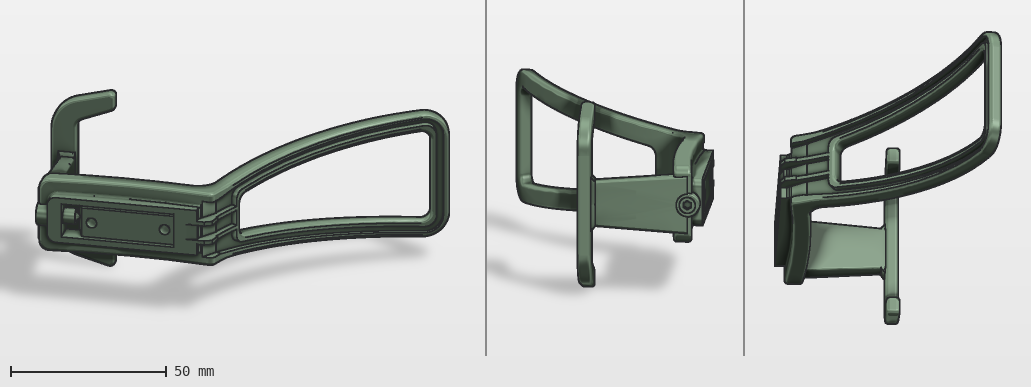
import cadquery as cq
import math

TILT = 14.0
REACH = 150.0

PLATE_START = (-3.6, 3.0)
PLATE_START_TOP = (-3.6, 8.8)
PLATE_UNDERSIDE_CROWN = (24.0, 4.8)
PLATE_TOP_CROWN = (22.0, 10.5)
PLATE_HALF_WIDTH = 12.65
PLATE_CORNER_RADIUS = 3.4
EDGE_FILLET = 1.1

BAND_FOOT_OUTER = (54.0, 3.0)
BAND_FOOT_INNER = (50.4, 9.1)
BAND_MIDDLE_INNER = (70.0, 40.3)
BAND_END_OUTER = (117.7, 64.95)
BAND_END_INNER = (116.5, 68.75)
BAND_OUTER_CENTRE = (147.4, -29.3)
INNER_BEND_RADIUS = 7.0
OUTER_BEND_RADIUS = 2.0
LOOP_FOOT_Y = 24.6
LOOP_TOP_Y = 110.0
LOOP_SLOPE = 0.141
LOOP_FOOT_RADIUS = 36.0
LOOP_CORNER_RADIUS = 8.5

WINDOW_FOOT = (60.2, 16.6)
WINDOW_FOOT_INNER = (55.2, 19.5)
FOOT_WALL_ANGLE = 150.0
OPENING_BASE_Y = 18.0
OPENING_SLOPE = 0.152
WINDOW_BASE_HALF = 4.8
WINDOW_END_BAR = 6.2
WINDOW_CORNER_RADIUS = 3.0
OPENING_OVERRUN = 12.0

GROOVE_DEPTH = 2.2
GROOVE_WIDTH = 2.2
GROOVE_FOOT = (54.5, 8.0)
GROOVE_FOOT_RADIUS = 0.5
GROOVE_BASE_HALF = 9.35
GROOVE_END_BAR = 2.0
GROOVE_CORNER_RADIUS = 6.0
GROOVE_CORE_FOOT = (59.2, 15.0)

POST_BASE_Y = 4.5
POST_BASE_X = (-3.9, 2.25)
POST_BASE_HALF_WIDTH = 9.5
POST_BASE_RIDGE = 0.1
POST_TOP_Y = 36.0
POST_TOP_X = (-3.8, 0.9)
POST_TOP_HALF_WIDTH = 7.3
POST_TOP_RIDGE = 0.7
POST_FILLET = 0.8
FLARE_HEIGHT = 1.3
FLARE_SIDE = 1.4
FLARE_OUTER = 0.9

HOOK_BOTTOM_Y = 35.5
HOOK_THICKNESS = 4.3
HOOK_HALF_SPAN = 30.245
HOOK_BACK_X = -7.2
HOOK_INNER_X = 1.3
HOOK_INNER_CORNER_Z = 19.4
HOOK_TIP_X = 13.8
HOOK_TIP_INNER_Z = 24.4
HOOK_ARM_ANGLE = 15.0
HOOK_OUTER_RADIUS = 11.5
HOOK_INNER_RADIUS = 3.0
HOOK_TIP_RADIUS = 1.6
HOOK_FILLET = 1.1

BLOCK_LENGTH = 50.0
BLOCK_HALF_WIDTH = 7.8
BLOCK_CORNER_RADIUS = 2.8
BLOCK_DEPTH = 7.0
BLOCK_ROOT_FILLET = 0.7

SLOT_HALF_WIDTH = 2.6
RIB_HALF_WIDTH = 4.0
RIB_PROFILE = ((46.0, 0), (51.8, 0), (54.2, 1.2), (55.2, 4.8), (46.0, 4.8))
SLOT_PROFILE = ((46.0, 0), (48.7, 0.8), (50.2, 1.2), (51.0, 3.6), (56.0, 3.6), (56.0, -1.0), (46.0, -1.0))
NOTCH_HALF_WIDTH = 9.7
NOTCH_PROFILE = ((49.3, -1.0), (49.4, 2.0), (54.5, 9.1), (62.0, 9.1), (62.0, -1.0))

POCKET_START = 4.6
POCKET_END = 41.8
POCKET_HALF_WIDTH = 5.75
POCKET_DEPTH = 7.0

JAW_HALF_WIDTH = 4.95
JAW_SINK = 0.2
JAW_FACE_START = 11.4
JAW_FLOOR_START = 8.9
JAW_HOLE_DIAMETER = 3.4
JAW_HOLES_X = (14.6, 38.7)

SCREW_Y = 4.5
SCREW_RADIUS = 2.6
SCREW_START = -3.8
SCREW_TIP_START = 8.6
SCREW_TIP_RADIUS = 1.7
SCREW_TIP_LENGTH = 1.6
SOCKET_WIDTH = 2.5
SOCKET_DEPTH = 2.0
BOSS_START = -4.1
BOSS_END = 1.0
BOSS_RADIUS = 3.9
BOSS_FILLET = 0.6


def near(x, y, z=0.0):
    return cq.selectors.NearestToPointSelector((x, y, z))


def to_model_frame(body):
    return body.rotate((0, 0, 0), (0, 0, 1), -TILT)


def to_final_position(body):
    return body.rotate((0, 0, 0), (0, 0, 1), TILT)


def slab(profile, half_width):
    """Profile in XY, extruded equally to both sides of Z = 0."""
    return cq.Workplane("XY").polyline(profile).close().extrude(half_width, both=True)


def x_cylinder(start, end, radius):
    return cq.Workplane("YZ", origin=(start, SCREW_Y, 0)).circle(radius).extrude(end - start)


def wedge(foot_y, foot_half, slope):
    """Prism along X with a trapezoid outline that widens with Y."""
    top_half = foot_half + slope * (LOOP_TOP_Y - foot_y)
    outline = [
        (foot_y, foot_half),
        (LOOP_TOP_Y, top_half),
        (LOOP_TOP_Y, -top_half),
        (foot_y, -foot_half),
    ]
    return cq.Workplane("YZ").polyline(outline).close().extrude(REACH, both=True)



def band_outer_radius():
    centre_x, centre_y = BAND_OUTER_CENTRE
    end_x, end_y = BAND_END_OUTER
    return math.hypot(end_x - centre_x, end_y - centre_y)


def band_outer_middle():
    """Point on the outer face's arc, halfway between foot and end in angle."""
    centre = cq.Vector(*BAND_OUTER_CENTRE)
    foot_direction = (cq.Vector(*BAND_FOOT_OUTER) - centre).normalized()
    end_direction = (cq.Vector(*BAND_END_OUTER) - centre).normalized()
    middle = centre + (foot_direction + end_direction).normalized() * band_outer_radius()
    return (middle.x, middle.y)


def bar_and_band():
    """Plate and bent loop band, both wider than needed."""
    bar = (
        cq.Workplane("XY")
        .moveTo(*PLATE_START)
        .threePointArc(PLATE_UNDERSIDE_CROWN, BAND_FOOT_OUTER)
        .threePointArc(band_outer_middle(), BAND_END_OUTER)
        .lineTo(*BAND_END_INNER)
        .threePointArc(BAND_MIDDLE_INNER, BAND_FOOT_INNER)
        .threePointArc(PLATE_TOP_CROWN, PLATE_START_TOP)
        .close()
        .extrude(2 * PLATE_HALF_WIDTH, both=True)
    )
    bar = bar.edges("|Z").edges(near(*BAND_FOOT_INNER)).fillet(INNER_BEND_RADIUS)
    return bar.edges("|Z").edges(near(*BAND_FOOT_OUTER)).fillet(OUTER_BEND_RADIUS)


def outline_prism():
    """Outline of plate and loop: parallel over the plate, widening over the loop."""
    straight = cq.Workplane("XY").box(2 * REACH, REACH, 2 * PLATE_HALF_WIDTH)
    straight = straight.translate((0, LOOP_FOOT_Y - REACH / 2, 0))
    outline = straight.union(wedge(LOOP_FOOT_Y, PLATE_HALF_WIDTH, LOOP_SLOPE))
    for side in (1, -1):
        foot_edge = near(0, LOOP_FOOT_Y, side * PLATE_HALF_WIDTH)
        outline = outline.edges("|X").edges(foot_edge).fillet(LOOP_FOOT_RADIUS)
    return to_model_frame(outline)


def loop_opening(foot_point, base_half, end_bar, foot_radius, end_radius):
    """Tapering prism through the band, from a wall at its foot to a wall near its end."""
    foot = cq.Vector(*foot_point)
    foot_angle = math.radians(FOOT_WALL_ANGLE)
    foot_wall = cq.Vector(math.cos(foot_angle), math.sin(foot_angle)) * OPENING_OVERRUN
    across_end = (cq.Vector(*BAND_END_INNER) - cq.Vector(*BAND_END_OUTER)).normalized()
    along_end = cq.Vector(across_end.y, -across_end.x)
    end = cq.Vector(*BAND_END_OUTER) - along_end * end_bar
    end_wall = across_end * OPENING_OVERRUN
    corners = [foot - foot_wall, foot + foot_wall, end + 3 * end_wall, end - end_wall]
    opening = slab([(corner.x, corner.y) for corner in corners], REACH)
    opening = opening.intersect(to_model_frame(wedge(OPENING_BASE_Y, base_half, OPENING_SLOPE)))
    for wall, radius in ((foot, foot_radius), (end, end_radius)):
        opening = opening.faces(near(wall.x, wall.y)).edges("not |Z").fillet(radius)
    return opening


def loop_window():
    return loop_opening(
        WINDOW_FOOT, WINDOW_BASE_HALF, WINDOW_END_BAR, WINDOW_CORNER_RADIUS, WINDOW_CORNER_RADIUS
    )


def loop_groove():
    """Ring between two openings, kept to a shallow depth below the band's outer face."""
    outer = loop_opening(
        GROOVE_FOOT, GROOVE_BASE_HALF, GROOVE_END_BAR, GROOVE_FOOT_RADIUS, GROOVE_CORNER_RADIUS
    )
    core = loop_opening(
        GROOVE_CORE_FOOT,
        GROOVE_BASE_HALF - GROOVE_WIDTH,
        GROOVE_END_BAR + GROOVE_WIDTH,
        WINDOW_CORNER_RADIUS,
        GROOVE_CORNER_RADIUS - GROOVE_WIDTH,
    )
    depth_limit = cq.Workplane("XY").center(*BAND_OUTER_CENTRE)
    depth_limit = depth_limit.circle(band_outer_radius() + GROOVE_DEPTH).extrude(REACH, both=True)
    return outer.cut(core).intersect(depth_limit)


def plate_and_loop():
    body = bar_and_band().intersect(outline_prism())
    body = body.edges("|Y").edges("<X").fillet(PLATE_CORNER_RADIUS)
    end_x = (BAND_END_OUTER[0] + BAND_END_INNER[0]) / 2
    end_y = (BAND_END_OUTER[1] + BAND_END_INNER[1]) / 2
    for side in (1, -1):
        body = body.edges(near(end_x, end_y, side * PLATE_HALF_WIDTH * 2)).fillet(LOOP_CORNER_RADIUS)
    for rim in (PLATE_START, PLATE_START_TOP):
        body = body.edges(near(*rim)).fillet(EDGE_FILLET)
    body = body.cut(loop_window())
    for rim in (WINDOW_FOOT, WINDOW_FOOT_INNER):
        body = body.edges(near(*rim)).fillet(EDGE_FILLET)
    return body



def post_section(y, x_range, half_width, ridge):
    """Five-sided section of the post at height y."""
    outer_x, inner_x = x_range
    points = [
        (outer_x, y, half_width),
        (outer_x - ridge, y, 0),
        (outer_x, y, -half_width),
        (inner_x, y, -half_width),
        (inner_x, y, half_width),
    ]
    return cq.Wire.makePolygon([cq.Vector(*point) for point in points], close=True)


def lofted(lower_section, upper_section):
    return cq.Workplane(cq.Solid.makeLoft([lower_section, upper_section], True))


def post():
    base = post_section(POST_BASE_Y, POST_BASE_X, POST_BASE_HALF_WIDTH, POST_BASE_RIDGE)
    top = post_section(POST_TOP_Y, POST_TOP_X, POST_TOP_HALF_WIDTH, POST_TOP_RIDGE)
    body = lofted(base, top)
    middle_y = (POST_BASE_Y + POST_TOP_Y) / 2
    for x_base, x_top in zip(POST_BASE_X, POST_TOP_X):
        for side in (1, -1):
            side_edge = near((x_base + x_top) / 2, middle_y, side * POST_BASE_HALF_WIDTH)
            body = body.edges(side_edge).fillet(POST_FILLET)
    return body


def post_flare():
    """Widening of the post just under the hook."""
    outer_x, inner_x = POST_TOP_X
    flared_x = (outer_x - FLARE_OUTER, inner_x)
    flare_start_y = HOOK_BOTTOM_Y - FLARE_HEIGHT
    narrow = post_section(flare_start_y, POST_TOP_X, POST_TOP_HALF_WIDTH, POST_TOP_RIDGE)
    wide = post_section(HOOK_BOTTOM_Y, flared_x, POST_TOP_HALF_WIDTH + FLARE_SIDE, POST_TOP_RIDGE)
    return lofted(narrow, wide)


def hook_arm_z(x):
    """Outer edge of the upper arm, placed so that its rounded tip reaches the half span."""
    angle = math.radians(HOOK_ARM_ANGLE)
    crest_z = HOOK_HALF_SPAN + HOOK_TIP_RADIUS * (1 / math.cos(angle) - 1)
    return crest_z + (x - HOOK_TIP_X + HOOK_TIP_RADIUS) * math.tan(angle)


def hook():
    upper = [
        (HOOK_INNER_X, HOOK_INNER_CORNER_Z),
        (HOOK_TIP_X, HOOK_TIP_INNER_Z),
        (HOOK_TIP_X, hook_arm_z(HOOK_TIP_X)),
        (HOOK_BACK_X, hook_arm_z(HOOK_BACK_X)),
    ]
    lower = [(x, -z) for x, z in reversed(upper)]
    body = cq.Workplane("XZ", origin=(0, HOOK_BOTTOM_Y, 0)).polyline(upper + lower).close()
    body = body.extrude(-HOOK_THICKNESS)
    middle_y = HOOK_BOTTOM_Y + HOOK_THICKNESS / 2
    radii = (HOOK_INNER_RADIUS, HOOK_TIP_RADIUS, HOOK_TIP_RADIUS, HOOK_OUTER_RADIUS)
    for (x, z), radius in zip(upper, radii):
        for side in (1, -1):
            body = body.edges("|Y").edges(near(x, middle_y, side * z)).fillet(radius)
    return body.faces("<Y or >Y").edges().fillet(HOOK_FILLET)



def block():
    body = cq.Workplane("XY").box(
        BLOCK_LENGTH, BLOCK_DEPTH, 2 * BLOCK_HALF_WIDTH, centered=(False, False, True)
    )
    return body.edges("|Y").edges("<X").fillet(BLOCK_CORNER_RADIUS)


def rib_slabs():
    """Two slabs that hold everything between the slot and the outer face of each rib."""
    slabs = cq.Workplane("XY").box(REACH, REACH, 2 * RIB_HALF_WIDTH)
    return slabs.cut(cq.Workplane("XY").box(REACH, REACH, 2 * SLOT_HALF_WIDTH))


def ribs():
    return slab(RIB_PROFILE, RIB_HALF_WIDTH).intersect(rib_slabs())


def end_cuts():
    """Groove, notch and slot at the plate's end, which leave the ribs standing."""
    notch = slab(NOTCH_PROFILE, NOTCH_HALF_WIDTH)
    foot_ribs = rib_slabs().intersect(cq.Workplane("XY").box(2 * WINDOW_FOOT[0], REACH, REACH))
    slot = slab(SLOT_PROFILE, SLOT_HALF_WIDTH)
    return loop_groove().union(notch).cut(foot_ribs).union(slot)


def boss():
    body = x_cylinder(BOSS_START, BOSS_END, BOSS_RADIUS)
    return body.faces("<X").edges().fillet(BOSS_FILLET)


def pocket():
    length = POCKET_END - POCKET_START
    body = cq.Workplane("XY").box(
        length, POCKET_DEPTH, 2 * POCKET_HALF_WIDTH, centered=(False, False, True)
    )
    return body.translate((POCKET_START, 0, 0))



def make_frame():
    body = plate_and_loop().union(block())
    root_y = PLATE_UNDERSIDE_CROWN[1]
    body = body.edges(near(BLOCK_LENGTH / 2, root_y, BLOCK_HALF_WIDTH)).fillet(BLOCK_ROOT_FILLET)
    body = body.cut(end_cuts()).union(ribs())
    body = body.union(post()).union(post_flare()).union(hook()).union(boss())
    screw_hole = x_cylinder(2 * BOSS_START, SCREW_TIP_START, SCREW_RADIUS)
    return body.cut(pocket()).cut(screw_hole)


def screw_blank():
    """Screw without its socket: a shank and a cone point."""
    shank = x_cylinder(SCREW_START, SCREW_TIP_START, SCREW_RADIUS)
    tip_base = cq.Vector(SCREW_TIP_START, SCREW_Y, 0)
    point = cq.Solid.makeCone(SCREW_TIP_RADIUS, 0, SCREW_TIP_LENGTH, tip_base, cq.Vector(1, 0, 0))
    return shank.union(cq.Workplane(point))


def make_screw():
    socket = cq.Workplane("YZ", origin=(SCREW_START, SCREW_Y, 0))
    socket = socket.polygon(6, SOCKET_WIDTH, circumscribed=True).extrude(SOCKET_DEPTH)
    return screw_blank().cut(socket)


def make_jaw():
    """Wedge-ended jaw with two through holes and a dimple for the screw's point."""
    side = [
        (JAW_FACE_START, JAW_SINK),
        (POCKET_END, JAW_SINK),
        (POCKET_END, POCKET_DEPTH),
        (JAW_FLOOR_START, POCKET_DEPTH),
    ]
    body = slab(side, JAW_HALF_WIDTH)
    for x in JAW_HOLES_X:
        hole = cq.Workplane("XZ", origin=(x, 0, 0)).circle(JAW_HOLE_DIAMETER / 2).extrude(-REACH)
        body = body.cut(hole)
    return body.cut(screw_blank())


frame = to_final_position(make_frame())
screw = to_final_position(make_screw())
jaw = to_final_position(make_jaw())

result = cq.Compound.makeCompound([frame.val(), screw.val(), jaw.val()])